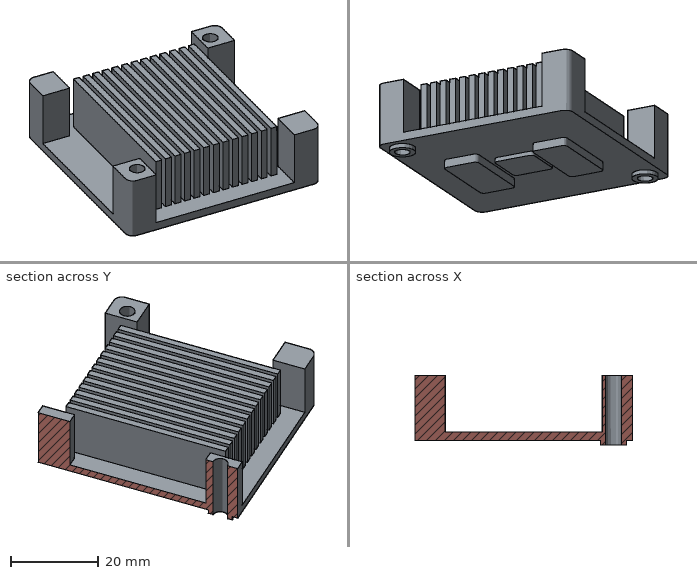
import cadquery as cq

side = 50.0
corner_radius = 2.0
base_thickness = 2.0
body_height = 15.0
post_length_x = 8.0
post_length_y = 7.0

fin_count = 13
fin_pitch = 2.5
fin_thickness = 1.55
fin_length = 40.0
fin_row_center_y = 0.35

hole_offset = 20.6
hole_diameter = 3.55
boss_diameter = 6.05
boss_height = 1.0

pad_corner_radius = 1.0
outer_pad_length = 19.0
outer_pad_width = 8.8
outer_pad_height = 2.0
outer_pad_offset_y = 11.5
center_pad_side = 10.2
center_pad_height = 1.0

hole_points = [(-hole_offset, hole_offset), (hole_offset, -hole_offset)]


def rounded_block(length, width, bottom_z, height, radius):
    """Block centred on the Z axis with rounded vertical edges."""
    block = cq.Workplane("XY").workplane(offset=bottom_z).rect(length, width).extrude(height)
    return block.edges("|Z").fillet(radius)


def make_body():
    """Rounded square block cut away above the base, leaving four corner posts."""
    body = rounded_block(side, side, 0, body_height, corner_radius)
    gap_x = side - 2 * post_length_x
    gap_y = side - 2 * post_length_y
    channels = cq.Workplane("XY").workplane(offset=base_thickness)
    channel_along_y = channels.rect(gap_x, side).extrude(body_height)
    channel_along_x = channels.rect(side, gap_y).extrude(body_height)
    return body.cut(channel_along_y).cut(channel_along_x)


def make_fins():
    """Row of parallel fins rising from inside the base plate to the post tops."""
    return (
        cq.Workplane("XY")
        .center(0, fin_row_center_y)
        .rarray(0.5, fin_pitch, 1, fin_count)
        .rect(fin_length, fin_thickness)
        .extrude(body_height)
    )


def make_pads():
    """Two tall outer pads and one low square center pad, hanging below the base."""
    outer_pad = rounded_block(
        outer_pad_length, outer_pad_width, -outer_pad_height, outer_pad_height, pad_corner_radius
    )
    pads = rounded_block(
        center_pad_side, center_pad_side, -center_pad_height, center_pad_height, pad_corner_radius
    )
    for direction in (-1, 1):
        pads = pads.add(outer_pad.translate((0, direction * outer_pad_offset_y, 0)))
    return pads.combine()


def make_bosses():
    """Round bosses below the base, one around each mounting hole."""
    return cq.Workplane("XY").pushPoints(hole_points).circle(boss_diameter / 2).extrude(-boss_height)


def make_holes():
    """Mounting holes through the posts and bosses."""
    return (
        cq.Workplane("XY")
        .workplane(offset=-boss_height)
        .pushPoints(hole_points)
        .circle(hole_diameter / 2)
        .extrude(boss_height + body_height)
    )


result = make_body().union(make_fins()).union(make_pads()).union(make_bosses()).cut(make_holes())